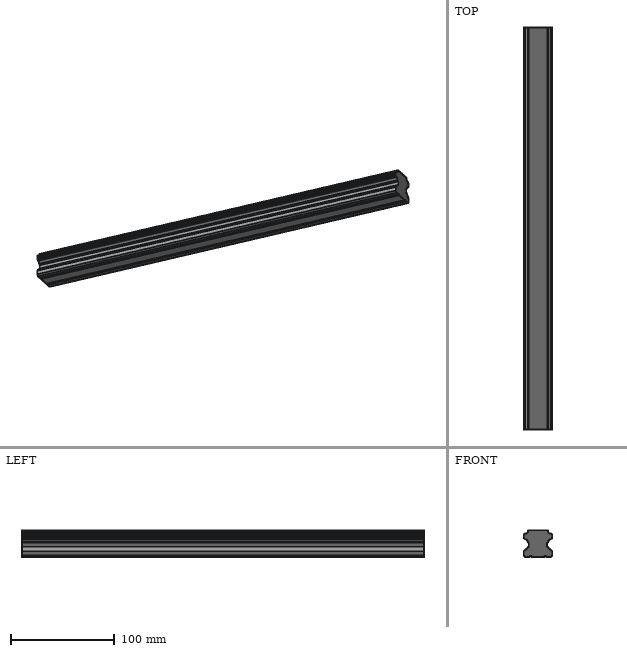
import cadquery as cq

length = 390.0
width = 28.0
height = 26.0
half_width = width / 2

top_half = 9.8
top_chamfer = 0.8
raceway_radius = 2.5
upper_raceway_top = 24.5
upper_raceway_bottom = 23.0
raceway_edge_half = 12.5
nose_bevel_half = 13.5
nose_bevel_top = 22.0
nose_top = 20.5
nose_bottom = 19.5
nose_bevel_bottom = 18.5
lower_raceway_top = 17.0
lower_raceway_bottom = 15.0
lower_raceway_half = 10.0

waist_half = 9.0
waist_top = 13.5
waist_bottom = 10.0
base_shoulder = 5.5
base_chamfer = 1.5

groove_offset = 7.0
groove_width = 1.5
groove_depth = 0.8


def half_section():
    """Right half of the cross-section, closed along the centre plane."""
    return (
        cq.Workplane("XZ")
        .moveTo(0, 0)
        .lineTo(half_width - base_chamfer, 0)
        .lineTo(half_width, base_chamfer)
        .lineTo(half_width, base_shoulder)
        .lineTo(waist_half, waist_bottom)
        .lineTo(waist_half, waist_top)
        .lineTo(lower_raceway_half, lower_raceway_bottom)
        .radiusArc((raceway_edge_half, lower_raceway_top), raceway_radius)
        .lineTo(nose_bevel_half, nose_bevel_bottom)
        .lineTo(half_width, nose_bottom)
        .lineTo(half_width, nose_top)
        .lineTo(nose_bevel_half, nose_bevel_top)
        .lineTo(raceway_edge_half, upper_raceway_bottom)
        .radiusArc((top_half, upper_raceway_top), raceway_radius)
        .lineTo(top_half, height - top_chamfer)
        .lineTo(top_half - top_chamfer, height)
        .lineTo(0, height)
        .close()
    )


def underside_groove(center_x):
    """Shallow rectangular groove running the full length of the underside."""
    return (
        cq.Workplane("XY")
        .center(center_x, 0)
        .rect(groove_width, length)
        .extrude(groove_depth)
    )


half_rail = half_section().extrude(length / 2, both=True).cut(underside_groove(groove_offset))
result = half_rail.union(half_rail.mirror("YZ")).clean()